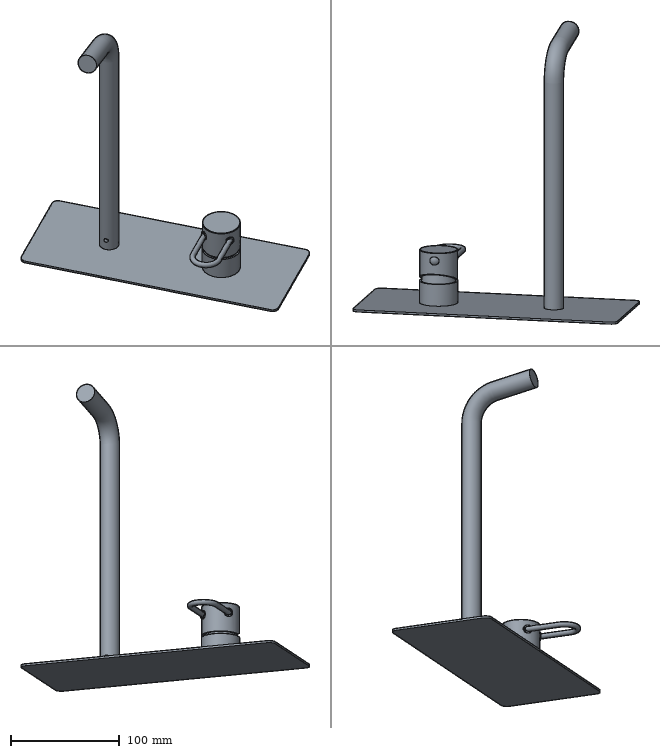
import cadquery as cq
import math

plate_length = 250.0
plate_width = 100.0
plate_thickness = 2.0
plate_corner_radius = 6.0

axis_offset = 54.5
spout_x = -axis_offset
mixer_x = axis_offset

overall_height = 259.08
spout_radius = 9.0
bend_radius = 28.83
bend_angle = 80.0
arm_length = 40.0

screw_hole_diameter = 4.0
screw_hole_depth = 4.0
screw_hole_z = 12.3

base_radius = 17.7
base_top_z = 22.5
neck_bottom_radius = 15.9
neck_taper_angle = 9.3
cap_top_wall = 3.0

cap_radius = 17.5
cap_bottom_z = 24.7
cap_top_z = 52.0
cap_edge_chamfer = 0.5
relief_height = 7.3

rod_radius = 2.5
loop_radius = 12.5
loop_arc_y = -44.0
loop_z = 42.7

collar_radius = 3.9
collar_angle = 45.0
collar_reach = cap_radius + 1.0
dome_radius = 3.9
dome_height = 1.6
dome_z = cap_top_z - 7.5

neck_top_z = cap_top_z - cap_top_wall
neck_height = neck_top_z - base_top_z
neck_top_radius = neck_bottom_radius - neck_height * math.tan(math.radians(neck_taper_angle))


def make_plate():
    plate = cq.Workplane("XY").box(plate_length, plate_width, plate_thickness, centered=(True, True, False))
    return plate.edges("|Z").fillet(plate_corner_radius)


def make_spout():
    angle = math.radians(bend_angle)
    half_angle = angle / 2
    rise_above_riser = (
        bend_radius * math.sin(angle)
        + arm_length * math.cos(angle)
        + spout_radius * math.sin(angle)
    )
    riser_top_z = overall_height - rise_above_riser

    def bend_point(turn):
        return (-bend_radius * (1 - math.cos(turn)), riser_top_z + bend_radius * math.sin(turn))

    bend_end_y, bend_end_z = bend_point(angle)
    arm_end = (
        bend_end_y - arm_length * math.sin(angle),
        bend_end_z + arm_length * math.cos(angle),
    )
    path = (
        cq.Workplane("YZ", origin=(spout_x, 0, 0))
        .moveTo(0, plate_thickness)
        .lineTo(0, riser_top_z)
        .threePointArc(bend_point(half_angle), (bend_end_y, bend_end_z))
        .lineTo(*arm_end)
    )
    tube = cq.Workplane("XY", origin=(spout_x, 0, plate_thickness)).circle(spout_radius).sweep(path)
    screw_hole = (
        cq.Workplane("XZ", origin=(spout_x, -spout_radius, screw_hole_z))
        .circle(screw_hole_diameter / 2)
        .extrude(-screw_hole_depth)
    )
    return tube.cut(screw_hole)


def make_mixer_base():
    return (
        cq.Workplane("XY", origin=(mixer_x, 0, plate_thickness))
        .circle(base_radius)
        .extrude(base_top_z - plate_thickness)
    )


def make_neck():
    """Tapered neck, also the shape of the matching socket in the handle."""
    return (
        cq.Workplane("XZ", origin=(mixer_x, 0, 0))
        .moveTo(0, base_top_z)
        .lineTo(neck_bottom_radius, base_top_z)
        .lineTo(neck_top_radius, neck_top_z)
        .lineTo(0, neck_top_z)
        .close()
        .revolve(360, (0, 0, 0), (0, 1, 0))
    )


def make_cap():
    cap = (
        cq.Workplane("XY", origin=(mixer_x, 0, cap_bottom_z))
        .circle(cap_radius)
        .extrude(cap_top_z - cap_bottom_z)
        .faces(">Z")
        .chamfer(cap_edge_chamfer)
    )
    relief = (
        cq.Workplane("YZ", origin=(mixer_x, 0, 0))
        .moveTo(0, cap_bottom_z)
        .lineTo(cap_radius, cap_bottom_z)
        .lineTo(cap_radius, cap_bottom_z + relief_height)
        .close()
        .extrude(cap_radius, both=True)
    )
    return cap.cut(relief)


def make_loop():
    path = (
        cq.Workplane("XY", origin=(mixer_x, 0, loop_z))
        .moveTo(-loop_radius, 0)
        .lineTo(-loop_radius, loop_arc_y)
        .threePointArc((0, loop_arc_y - loop_radius), (loop_radius, loop_arc_y))
        .lineTo(loop_radius, 0)
    )
    return cq.Workplane("XZ", origin=(mixer_x - loop_radius, 0, loop_z)).circle(rod_radius).sweep(path)


def make_collar(side):
    """Short radial collar at the rod end on the given side (-1 or +1along X)."""
    return (
        cq.Workplane("XZ")
        .circle(collar_radius)
        .extrude(collar_reach)
        .rotate((0, 0, 0), (0, 0, 1), side * collar_angle)
        .translate((mixer_x, 0, loop_z))
    )


def make_dome():
    """Spherical button that stands out of the back of the cap."""
    sphere_radius = (dome_radius**2 + dome_height**2) / (2 * dome_height)
    centre_y = cap_radius + dome_height - sphere_radius
    return cq.Workplane("XY", origin=(mixer_x, centre_y, dome_z)).sphere(sphere_radius)


def make_fixture():
    return make_plate().union(make_spout()).union(make_mixer_base()).union(make_neck())


def make_handle():
    handle = make_cap().union(make_loop()).union(make_dome())
    for side in (-1, 1):
        handle = handle.union(make_collar(side))
    return handle.cut(make_neck())


fixture = make_fixture()
handle = make_handle()

result = cq.Compound.makeCompound([fixture.solids().val(), handle.solids().val()])